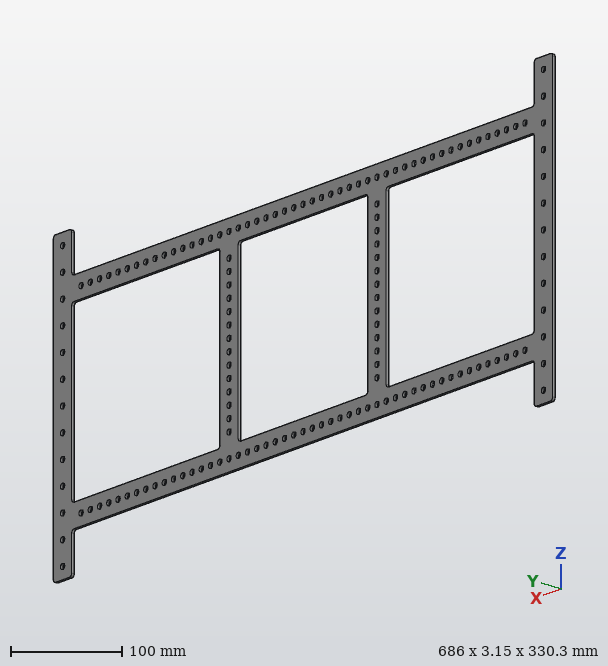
import cadquery as cq

length = 686.0
thickness = 3.15
hole_diameter = 5.6
corner_radius = 3.15

grid_steps = 54
pitch = length / grid_steps

post_hole_count = 13
post_hole_spacing = 2 * pitch
rail_hole_count = 49
mullion_hole_count = 14

height = post_hole_count * post_hole_spacing
bar_width = 2 * pitch
post_x = (length - bar_width) / 2
rail_z = 8.5 * pitch
mullion_x = 8 * pitch


def plate(width, tall, center_x=0, center_z=0):
    """Rectangular plate in the XZ plane, centred through its thickness."""
    return cq.Workplane("XY").box(width, thickness, tall).translate((center_x, 0, center_z))


def frame():
    """Two long rails joined by end posts and mullions, with all corners rounded."""
    bars = plate(bar_width, height, -post_x).union(plate(bar_width, height, post_x))
    for side in (-1, 1):
        bars = bars.union(plate(length, bar_width, 0, side * rail_z))
        bars = bars.union(plate(bar_width, 2 * rail_z, side * mullion_x))
    return bars.edges("|Y").fillet(corner_radius)


def hole_row(center_x, center_z, x_spacing, z_spacing, count):
    """Cutter for a row of through holes, spread evenly about its centre."""
    offsets = [i - (count - 1) / 2 for i in range(count)]
    points = [(center_x + k * x_spacing, center_z + k * z_spacing) for k in offsets]
    holes = cq.Workplane("XZ").pushPoints(points).circle(hole_diameter / 2)
    return holes.extrude(thickness, both=True)


result = frame()

for side in (-1, 1):
    result = result.cut(hole_row(side * post_x, 0, 0, post_hole_spacing, post_hole_count))
    result = result.cut(hole_row(side * mullion_x, 0, 0, pitch, mullion_hole_count))
    result = result.cut(hole_row(0, side * rail_z, pitch, 0, rail_hole_count))